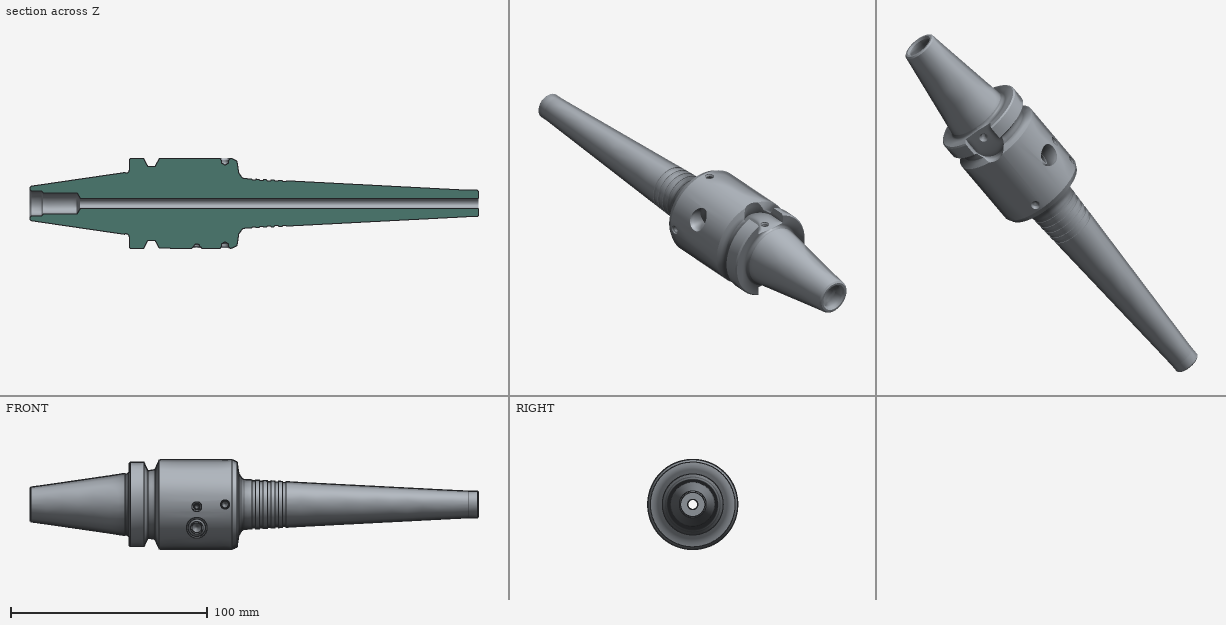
import cadquery as cq
import math


total_length = 228.5
gauge_x = 48.5
flange_x = 50.5
groove_start_x = 58.0
body_start_x = 65.8
body_chamfer_x = 102.8
body_face_x = 106.5
neck_x = 109.0
tip_x = 223.1

body_radius = 46.0 / 2
taper_per_length = 7 / 24
gauge_radius = 31.7 / 2
taper_end_radius = gauge_radius - gauge_x * taper_per_length / 2
relief_radius = 15.5
groove_radius = 19.0
neck_radius = 12.8
tip_radius = 6.9

end_chamfer = 0.7
flange_chamfer = 0.7
flange_root_fillet = 1.5
groove_flank = 2.0
body_chamfer_length = 2.7
body_chamfer_drop = 1.4
neck_root_height = 2.7
neck_arc_x = 107.5
neck_arc_radius = 14.0
neck_fillet = 2.0

ring_count = 5
ring_pitch = 3.9
ring_width = 1.8
ring_depth = 0.5
first_ring_x = 113.0

through_diameter = 5.0
mouth_diameter = 14.2
pilot_diameter = 12.3
pilot_depth = 6.0
thread_diameter = 10.5
thread_depth = 24.0
pilot_step = (pilot_diameter - thread_diameter) / 2
mouth_chamfer = (mouth_diameter - pilot_diameter) / 2

slot_width = 16.0
slot_floor_z = 16.2
slot_end_x = 67.0

drill_tip_angle = 118.0
step_straight = 0.5
balance_x = 99.4
balance_diameters = (4.5, 3.5)
balance_depth = 2.3
flange_hole_x = 55.3
flange_hole_diameters = (4.5, 3.5, 2.3)
flange_hole_depth = 4.5
clamp_x = 85.0
side_hole_z = -1.1
side_hole_diameters = (5.0, 3.5, 2.3)
side_hole_depth = 3.5

clamp_diameter = 10.5
clamp_offset = 11.9
pocket_floor_y = 13.7
screw_rise = 1.8
screw_base_diameter = 9.0
screw_top_diameter = 6.5
socket_diameter = 5.0
socket_depth = 2.3


def revolve_about_x(profile):
    return profile.close().revolve(360, (0, 0, 0), (1, 0, 0))


def outer_shape():
    """Taper, flange, gripper groove, body, neck and tip in one revolved outline."""
    chamfer_radius = body_radius - body_chamfer_drop
    profile = (
        cq.Workplane("XY")
        .moveTo(0, 0)
        .lineTo(0, taper_end_radius - end_chamfer)
        .lineTo(end_chamfer, taper_end_radius + end_chamfer * taper_per_length / 2)
        .lineTo(gauge_x, gauge_radius)
        .lineTo(gauge_x, relief_radius)
        .lineTo(flange_x - flange_root_fillet, relief_radius)
        .radiusArc((flange_x, relief_radius + flange_root_fillet), -flange_root_fillet)
        .lineTo(flange_x, body_radius - flange_chamfer)
        .lineTo(flange_x + flange_chamfer, body_radius)
        .lineTo(groove_start_x, body_radius)
        .lineTo(groove_start_x + groove_flank, groove_radius)
        .lineTo(body_start_x - groove_flank, groove_radius)
        .lineTo(body_start_x, body_radius)
        .lineTo(body_chamfer_x, body_radius)
        .lineTo(body_chamfer_x + body_chamfer_length, chamfer_radius)
        .lineTo(body_face_x, neck_radius + neck_root_height)
        .lineTo(neck_arc_x, neck_arc_radius)
        .radiusArc((neck_x, neck_radius), -neck_fillet)
        .lineTo(tip_x, tip_radius)
        .lineTo(total_length - end_chamfer, tip_radius)
        .lineTo(total_length, tip_radius - end_chamfer)
        .lineTo(total_length, 0)
    )
    return revolve_about_x(profile)


def cooling_ring(x):
    """Cutter for one shallow square-edged groove around the conical neck."""
    slope = (neck_radius - tip_radius) / (tip_x - neck_x)
    surface_radius = neck_radius - (x + ring_width / 2 - neck_x) * slope
    return (
        cq.Workplane("YZ", origin=(x, 0, 0))
        .circle(neck_radius)
        .circle(surface_radius - ring_depth)
        .extrude(ring_width)
    )


def bore():
    """Stepped bore from the taper end, with a drill cone down to the through hole."""
    cone_length = (thread_diameter - through_diameter) / 2 / math.tan(math.radians(drill_tip_angle / 2))
    profile = (
        cq.Workplane("XY")
        .moveTo(0, 0)
        .lineTo(0, mouth_diameter / 2)
        .lineTo(mouth_chamfer, pilot_diameter / 2)
        .lineTo(pilot_depth, pilot_diameter / 2)
        .lineTo(pilot_depth + pilot_step, thread_diameter / 2)
        .lineTo(thread_depth, thread_diameter / 2)
        .lineTo(thread_depth + cone_length, through_diameter / 2)
        .lineTo(total_length, through_diameter / 2)
        .lineTo(total_length, 0)
    )
    return revolve_about_x(profile)


def drive_slot():
    """Cutter for the upper drive slot, with a half-round end that runs into the body."""
    slot_radius = slot_width / 2
    slot_start_x = gauge_x
    straight = slot_end_x - slot_radius - slot_start_x
    height = body_radius - slot_floor_z
    plane = cq.Workplane("XY", origin=(0, 0, slot_floor_z))
    channel = plane.center(slot_start_x + straight / 2, 0).rect(straight, slot_width).extrude(height)
    rounded_end = plane.center(slot_end_x - slot_radius, 0).circle(slot_radius).extrude(height)
    return channel.union(rounded_end)


def stepped_hole(diameters, depth, surface=body_radius):
    """Cutter for a hole down the Z axis that narrows in 45 degree cones and ends in a drill cone."""
    profile = cq.Workplane("XZ").moveTo(0, body_radius).lineTo(diameters[0] / 2, body_radius)
    level = surface
    for wide, narrow in zip(diameters, diameters[1:]):
        level -= step_straight
        profile = profile.lineTo(wide / 2, level)
        level -= (wide - narrow) / 2
        profile = profile.lineTo(narrow / 2, level)
    core_radius = diameters[-1] / 2
    tip_length = core_radius / math.tan(math.radians(drill_tip_angle / 2))
    profile = profile.lineTo(core_radius, surface - depth).lineTo(0, surface - depth - tip_length)
    return profile.close().revolve(360, (0, 0, 0), (0, 1, 0))


def place(cutter, x, angle):
    """Turn a cutter from +Z by an angle about X, then move it along the axis."""
    return cutter.rotate((0, 0, 0), (1, 0, 0), angle).translate((x, 0, 0))


def clamp_pocket():
    """Cutter for a flat-bottomed pocket going down the Z axis."""
    depth = body_radius - pocket_floor_y
    return cq.Workplane("XY", origin=(0, 0, pocket_floor_y)).circle(clamp_diameter / 2).extrude(depth)


def screw_pocket():
    """Clamp pocket with the conical head of a screw, and its socket, standing on the floor."""
    head = (
        cq.Workplane("XY", origin=(0, 0, pocket_floor_y))
        .circle(screw_base_diameter / 2)
        .workplane(offset=screw_rise)
        .circle(screw_top_diameter / 2)
        .loft()
    )
    socket = stepped_hole((socket_diameter,), socket_depth, pocket_floor_y + screw_rise)
    return clamp_pocket().cut(head).union(socket)


result = outer_shape().cut(bore())

for index in range(ring_count):
    result = result.cut(cooling_ring(first_ring_x + index * ring_pitch))

for angle in (0, 180):
    flange_hole = stepped_hole(flange_hole_diameters, flange_hole_depth, slot_floor_z)
    result = result.cut(place(drive_slot(), 0, angle))
    result = result.cut(place(flange_hole, flange_hole_x, angle))

for angle in (0, 90, 180, 270):
    result = result.cut(place(stepped_hole(balance_diameters, balance_depth), balance_x, angle))

side_hole = place(stepped_hole(side_hole_diameters, side_hole_depth), clamp_x, 90)
result = result.cut(side_hole.translate((0, 0, side_hole_z)))
result = result.cut(place(screw_pocket(), clamp_x, 90).translate((0, 0, -clamp_offset)))
result = result.cut(place(clamp_pocket(), clamp_x, -90).translate((0, 0, clamp_offset)))